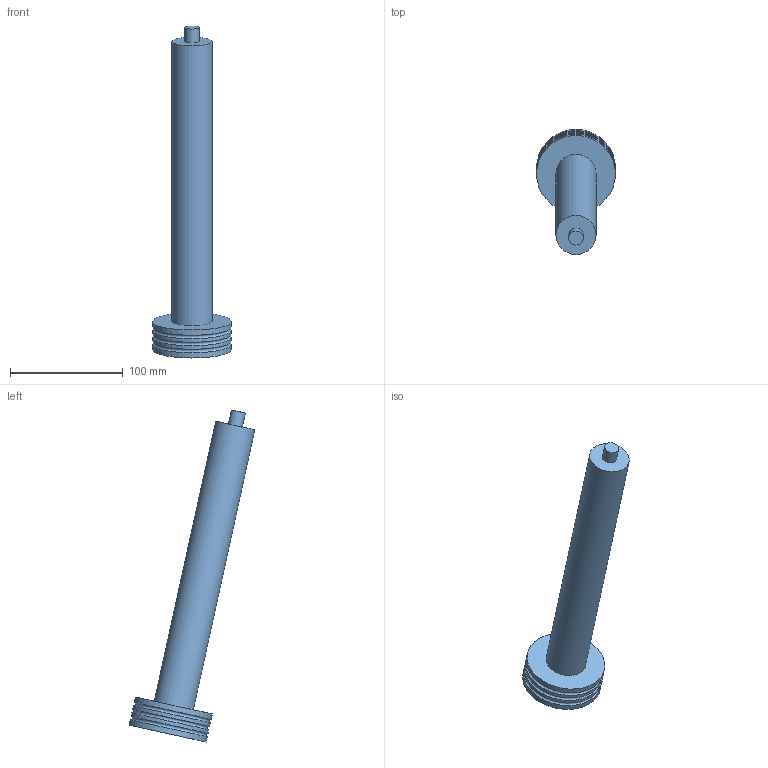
import cadquery as cq

TILT_ANGLE = 12.388

HEAD_DIAMETER = 69.85
HEAD_HEIGHT = 25.4

ROD_DIAMETER = 35.56
ROD_LENGTH = 254.0

PIN_DIAMETER = 12.7
PIN_LENGTH = 12.7

GROOVE_COUNT = 3
GROOVE_WIDTH = 3.175
GROOVE_PITCH = 2 * GROOVE_WIDTH


def cylinder(diameter, height, base_height):
    """Cylinder on the part axis, starting at base_height."""
    return cq.Workplane("XY").workplane(offset=base_height).circle(diameter / 2).extrude(height)


def ring_groove(center_height):
    """Round-section ring that cuts one half-round groove around the head."""
    return (
        cq.Workplane("XZ")
        .center(HEAD_DIAMETER / 2, center_height)
        .circle(GROOVE_WIDTH / 2)
        .revolve(360, (-HEAD_DIAMETER / 2, 0), (-HEAD_DIAMETER / 2, 1))
    )


def grooved_head():
    """Disc-shaped head with evenly spaced grooves, centered on its height."""
    head = cylinder(HEAD_DIAMETER, HEAD_HEIGHT, 0)
    first_groove = HEAD_HEIGHT / 2 - GROOVE_PITCH * (GROOVE_COUNT - 1) / 2
    for index in range(GROOVE_COUNT):
        head = head.cut(ring_groove(first_groove + index * GROOVE_PITCH))
    return head


rod = cylinder(ROD_DIAMETER, ROD_LENGTH, HEAD_HEIGHT)
pin = cylinder(PIN_DIAMETER, PIN_LENGTH, HEAD_HEIGHT + ROD_LENGTH)
upright_part = grooved_head().union(rod).union(pin)

result = upright_part.rotate((0, 0, 0), (1, 0, 0), TILT_ANGLE)